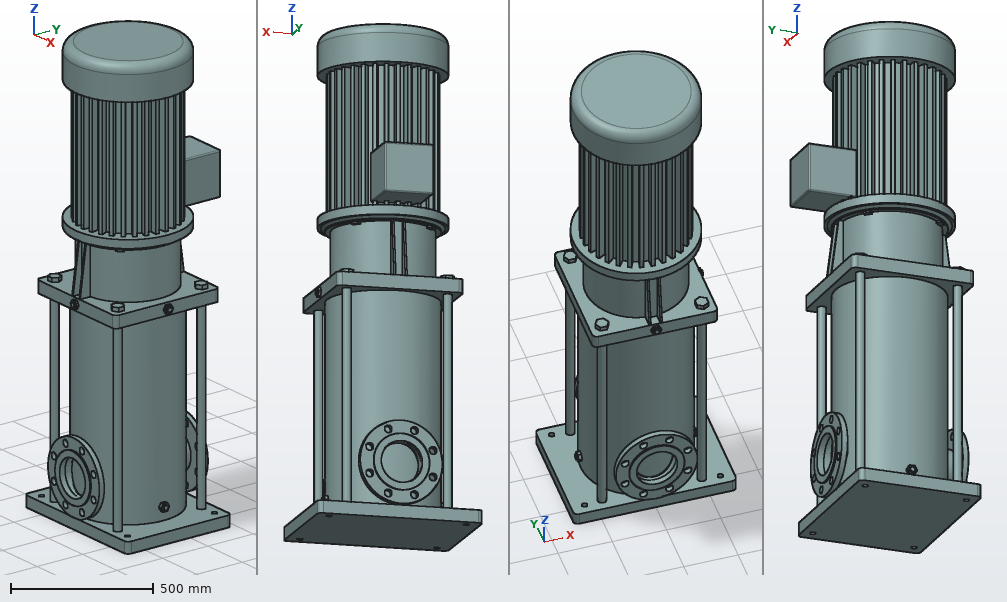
import cadquery as cq
import math

total_height = 1786

base_length, base_width, base_thick = 600.0, 460.0, 46.0
plate_corner_radius = 18.0
base_hole_dia = 20.0
base_hole_x, base_hole_y = 250.0, 191.0

head_side, head_bottom, head_top = 460.0, 825.0, 875.0
sleeve_dia = 409.0

rod_dia, rod_offset = 32.0, 184.0
nut_width, nut_height = 43.0, 16.0

pipe_height = 200.0
pipe_face = 245.0
pipe_neck_dia, pipe_bore_dia = 157.0, 150.0
flange_dia, flange_thick = 300.0, 21.0
raised_face_dia, raised_face_height = 204.0, 5.0
flange_bolt_circle, flange_hole_dia, flange_hole_count = 250.0, 27.0, 8

lantern_dia, lantern_top = 371.0, 1079.0
rib_thick, rib_spacing = 7.0, 41.0
rib_reach_bottom, rib_reach_top = 229.0, 202.0
rib_web_reach = 191.0
lug_width, lug_reach, lug_height = 29.0, 204.0, 7.0

spigot_dia, spigot_cone_dia, spigot_cone_height = 410, 440.0, 9.0
motor_flange_dia, motor_flange_bottom, motor_flange_top = 460.0, 1093.0, 1127.0
fin_tip_dia, fin_root_dia = 400.0, 340
fin_count, fin_thick = 30, 15.0
cover_dia, cover_bottom, cover_round = 460.0, 1643.0, 38.0

box_width, box_bottom, box_top = 179.0, 1148.0, 1327.0
box_inner_y, box_outer_y, box_round = 160.0, 341.0, 5.0

plug_hex_width, plug_tip_dia, plug_tip_length = 32.0, 20.0, 5.0
vent_plug_length, drain_plug_length = 15.0, 18.0
vent_plug_height, drain_plug_height = 850.0, 100.0


def cylinder(diameter, bottom, top):
    """Upright cylinder on the pump axis."""
    return cq.Workplane("XY").workplane(offset=bottom).circle(diameter / 2).extrude(top - bottom)


def rounded_plate(length, width, bottom, top):
    """Flat plate centred on the axis with rounded vertical corners."""
    plate = cq.Workplane("XY").workplane(offset=bottom).rect(length, width).extrude(top - bottom)
    return plate.edges("|Z").fillet(plate_corner_radius)


def hex_corner_dia(width):
    """Corner-to-corner size of a hexagon of the given width across flats."""
    return width / math.cos(math.pi / 6)


def base_plate():
    plate = rounded_plate(base_length, base_width, 0, base_thick)
    holes = (
        cq.Workplane("XY")
        .rect(2 * base_hole_x, 2 * base_hole_y, forConstruction=True)
        .vertices()
        .circle(base_hole_dia / 2)
        .extrude(base_thick)
    )
    return plate.cut(holes)


def tie_rods():
    """Four corner rods from base to head plate, each with a hex nut on top."""
    rods = []
    for side_x in (-1, 1):
        for side_y in (-1, 1):
            place = (side_x * rod_offset, side_y * rod_offset)
            rod = cylinder(rod_dia, base_thick, head_bottom).translate(place)
            turn = 90 if side_x > 0 else 0
            nut = (
                cq.Workplane("XY")
                .workplane(offset=head_top)
                .polygon(6, hex_corner_dia(nut_width))
                .extrude(nut_height)
                .rotate((0, 0, 0), (0, 0, 1), turn)
                .translate(place)
            )
            rods += [rod, nut]
    return rods


def pipe_connection():
    """Flanged pipe stub on the -Y side; its bore stops at the sleeve."""
    flange_front = pipe_face - raised_face_height
    flange_back = flange_front - flange_thick

    def disc(diameter, start, end):
        return cq.Workplane("XZ").workplane(offset=start).circle(diameter / 2).extrude(end - start)

    stub = disc(pipe_neck_dia, 0, flange_front)
    stub = stub.union(disc(flange_dia, flange_back, flange_front))
    stub = stub.union(disc(raised_face_dia, flange_front, pipe_face))
    half_pitch = 180 / flange_hole_count
    holes = (
        cq.Workplane("XZ")
        .workplane(offset=flange_back)
        .polarArray(flange_bolt_circle / 2, half_pitch, 360, flange_hole_count)
        .circle(flange_hole_dia / 2)
        .extrude(pipe_face - flange_back)
    )
    stub = stub.cut(holes).cut(disc(pipe_bore_dia, 0, pipe_face))
    return stub.translate((0, 0, pipe_height)).cut(cylinder(sleeve_dia, 0, head_bottom))


def lantern():
    """Round motor stool with a pair of tapered ribs on the -Y and +Y sides.

    A flat web joins each pair, and four lugs sit under the motor spigot.
    """
    height = lantern_top - head_top
    body = cylinder(lantern_dia, head_top, lantern_top)
    rib_outline = [
        (-rib_reach_bottom, head_top),
        (rib_reach_bottom, head_top),
        (rib_reach_top, lantern_top),
        (-rib_reach_top, lantern_top),
    ]
    rib = cq.Workplane("YZ").polyline(rib_outline).close().extrude(rib_thick / 2, both=True)
    for side in (-1, 1):
        body = body.union(rib.translate((side * rib_spacing / 2, 0, 0)))
    upright = (True, True, False)
    web = cq.Workplane("XY").box(rib_spacing, 2 * rib_web_reach, height, centered=upright)
    body = body.union(web.translate((0, 0, head_top)))
    lug_bar = cq.Workplane("XY").box(lug_width, 2 * lug_reach, lug_height, centered=upright)
    for angle in (45, 135):
        bar = lug_bar.rotate((0, 0, 0), (0, 0, 1), angle)
        body = body.union(bar.translate((0, 0, lantern_top - lug_height)))
    return body


def motor():
    """Finned motor with its mounting flange, spigot and round-edged fan cover."""
    body = cylinder(fin_root_dia, motor_flange_top, cover_bottom)
    fin_zone = cylinder(fin_tip_dia, motor_flange_top, cover_bottom)
    fin_blank = (
        cq.Workplane("XY")
        .workplane(offset=motor_flange_top)
        .center(0, -fin_tip_dia / 4)
        .rect(fin_thick, fin_tip_dia / 2)
        .extrude(cover_bottom - motor_flange_top)
        .intersect(fin_zone)
    )
    for index in range(fin_count):
        fin = fin_blank.rotate((0, 0, 0), (0, 0, 1), index * 360 / fin_count)
        body = body.union(fin)
    cone_bottom = motor_flange_bottom - spigot_cone_height
    spigot_cone = (
        cq.Workplane("XY")
        .workplane(offset=cone_bottom)
        .circle(spigot_dia / 2)
        .workplane(offset=spigot_cone_height)
        .circle(spigot_cone_dia / 2)
        .loft()
    )
    body = body.union(cylinder(spigot_dia, lantern_top, cone_bottom)).union(spigot_cone)
    body = body.union(cylinder(motor_flange_dia, motor_flange_bottom, motor_flange_top))
    cover = cylinder(cover_dia, cover_bottom, total_height).faces(">Z").edges().fillet(cover_round)
    return body.union(cover)


def terminal_box():
    depth = box_outer_y - box_inner_y
    height = box_top - box_bottom
    box = cq.Workplane("XY").box(box_width, depth, height, centered=(True, False, False))
    box = box.edges(">Y or |Y").fillet(box_round)
    return box.translate((0, box_inner_y, box_bottom))


def plug(seat, length, height, angle):
    """Hex plug with a round tip, pointing along -Y and then turned about the axis."""
    start = seat - plug_hex_width / 2
    head = (
        cq.Workplane("XZ")
        .workplane(offset=start)
        .polygon(6, hex_corner_dia(plug_hex_width))
        .extrude(seat + length - plug_tip_length - start)
    )
    body = head.faces("<Y").workplane().circle(plug_tip_dia / 2).extrude(plug_tip_length)
    return body.translate((0, 0, height)).rotate((0, 0, 0), (0, 0, 1), angle)


result = base_plate()
result = result.union(cylinder(sleeve_dia, base_thick, head_bottom))
result = result.union(rounded_plate(head_side, head_side, head_bottom, head_top))
for fastener in tie_rods():
    result = result.union(fastener)

connection = pipe_connection()
result = result.union(connection).union(connection.mirror("XZ"))
result = result.union(lantern()).union(motor()).union(terminal_box())

for angle in (0, 90):
    result = result.union(plug(head_side / 2, vent_plug_length, vent_plug_height, angle))

for angle in (-90, 90):
    result = result.union(plug(sleeve_dia / 2, drain_plug_length, drain_plug_height, angle))